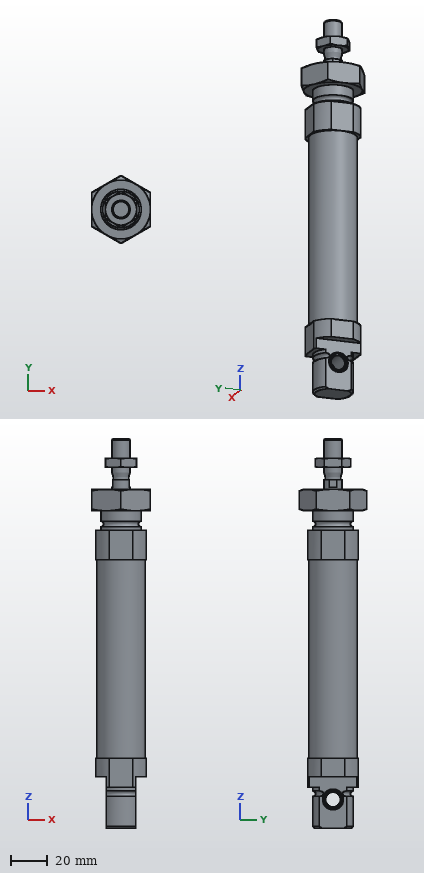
import cadquery as cq
import math

TOTAL_HEIGHT = 211.5
REAR_CAP_BOTTOM = 22.2
REAR_STEP_TOP = 28.0
REAR_CAP_TOP = 38.0
FRONT_CAP_BOTTOM = 145.7
FRONT_CAP_TOP = 161.8
FRONT_NECK_TOP = 184.0
SMALL_NUT_BOTTOM = 195.8

BARREL_DIAMETER = 26.5
CAP_ACROSS_FLATS = 27.5
CAP_FLAT_WIDTH = 13.0
CAP_DIAMETER = math.hypot(CAP_ACROSS_FLATS, CAP_FLAT_WIDTH)

NECK_DIAMETER = 22.0
NECK_CHAMFER = 1.0
GROOVE_RADIUS = 1.5
GROOVE_OFFSET = 3.4

TONGUE_THICKNESS = 16.0
PIVOT_HEIGHT = 15.7
PIVOT_DIAMETER = 8.0
PIVOT_SEAT_DIAMETER = 10.0
PIVOT_CHAMFER = 0.6

ROD_DIAMETER = 10.0
ROD_BORE_DEPTH = 21.2
ROD_BOTTOM = FRONT_NECK_TOP - ROD_BORE_DEPTH
ROD_TIP_CHAMFER_LENGTH = 0.8
ROD_TIP_CHAMFER_DEPTH = 0.6
ROD_UNDERCUT_DIAMETER = 8.5
ROD_UNDERCUT_BOTTOM = 189.3
ROD_UNDERCUT_WIDTH = 1.3
ROD_FLARE_LENGTH = 2.5
WRENCH_FLAT_SPACING = 9.0
WRENCH_FLAT_BOTTOM = 185.0

LARGE_NUT_ACROSS_FLATS = 32.0
LARGE_NUT_HEIGHT = 11.6
LARGE_NUT_BOTTOM = FRONT_NECK_TOP - LARGE_NUT_HEIGHT
SMALL_NUT_ACROSS_FLATS = 17.0
SMALL_NUT_HEIGHT = 5.0
NUT_CHAMFER_ANGLE = 20.0
HEXAGON_SIDES = 6


def disc(diameter, bottom, top):
    """Upright cylinder between two heights."""
    return cq.Workplane("XY").workplane(offset=bottom).circle(diameter / 2).extrude(top - bottom)


def slab(thickness, width, bottom, top):
    """Upright block centred on the axis, measured along X and Y."""
    return cq.Workplane("XY").workplane(offset=bottom).rect(thickness, width).extrude(top - bottom)


def cut_neck_groove(neck, height):
    """Cut a half-round groove around a neck."""
    ring = cq.Solid.makeTorus(NECK_DIAMETER / 2, GROOVE_RADIUS, cq.Vector(0, 0, height))
    return neck.cut(cq.Workplane(ring))


def make_cap(bottom, top):
    """Round cap with four flats."""
    return disc(CAP_DIAMETER, bottom, top).intersect(slab(CAP_ACROSS_FLATS, CAP_ACROSS_FLATS, bottom, top))


def make_front_neck():
    """Front neck with a chamfered end, which carries the large nut."""
    neck = disc(NECK_DIAMETER, FRONT_CAP_TOP, FRONT_NECK_TOP).faces(">Z").chamfer(NECK_CHAMFER)
    return cut_neck_groove(neck, FRONT_CAP_TOP + GROOVE_OFFSET)


def make_rear_end():
    """Rear cap and neck, milled down to a tongue with a pivot hole."""
    neck = disc(NECK_DIAMETER, 0, REAR_CAP_BOTTOM).faces("<Z").chamfer(NECK_CHAMFER)
    neck = cut_neck_groove(neck, REAR_CAP_BOTTOM - GROOVE_OFFSET)
    rear = make_cap(REAR_CAP_BOTTOM, REAR_CAP_TOP).union(neck)
    tongue_limit = slab(TONGUE_THICKNESS, CAP_DIAMETER, 0, REAR_STEP_TOP)
    cap_limit = slab(CAP_DIAMETER, CAP_DIAMETER, REAR_STEP_TOP, REAR_CAP_TOP)
    return rear.intersect(tongue_limit.union(cap_limit)).cut(make_pivot_hole())


def make_pivot_hole():
    """Hole along X that opens at both tongue faces into a shallow seat with a chamfered rim."""
    face = TONGUE_THICKNESS / 2
    seat = face - PIVOT_CHAMFER
    radius = PIVOT_DIAMETER / 2
    seat_radius = PIVOT_SEAT_DIAMETER / 2
    rim_radius = seat_radius + PIVOT_CHAMFER
    half_profile = [
        (-face, 0),
        (-face, rim_radius),
        (-seat, seat_radius),
        (-seat, radius),
        (seat, radius),
        (seat, seat_radius),
        (face, rim_radius),
        (face, 0),
    ]
    hole = cq.Workplane("XZ").polyline(half_profile).close().revolve(360, (0, 0, 0), (1, 0, 0))
    return hole.translate((0, 0, PIVOT_HEIGHT))


def make_cylinder():
    """Barrel, both caps and both necks, with a blind bore for the rod."""
    barrel = disc(BARREL_DIAMETER, REAR_CAP_TOP, FRONT_CAP_BOTTOM)
    body = barrel.union(make_rear_end())
    body = body.union(make_cap(FRONT_CAP_BOTTOM, FRONT_CAP_TOP)).union(make_front_neck())
    return body.cut(disc(ROD_DIAMETER, ROD_BOTTOM, FRONT_NECK_TOP))


def make_rod_undercut():
    """Ring to remove from the rod: square at its lower end, flaring out at its upper end."""
    outer_radius = ROD_DIAMETER / 2
    inner_radius = ROD_UNDERCUT_DIAMETER / 2
    flare_bottom = ROD_UNDERCUT_BOTTOM + ROD_UNDERCUT_WIDTH
    half_profile = [
        (outer_radius, ROD_UNDERCUT_BOTTOM),
        (inner_radius, ROD_UNDERCUT_BOTTOM),
        (inner_radius, flare_bottom),
        (outer_radius, flare_bottom + ROD_FLARE_LENGTH),
    ]
    return cq.Workplane("XZ").polyline(half_profile).close().revolve(360, (0, 0, 0), (0, 1, 0))


def make_rod_flats():
    """Two slivers to remove from the rod, leaving wrench flats that face X."""
    whole = slab(ROD_DIAMETER, ROD_DIAMETER, WRENCH_FLAT_BOTTOM, ROD_UNDERCUT_BOTTOM)
    core = slab(WRENCH_FLAT_SPACING, ROD_DIAMETER, WRENCH_FLAT_BOTTOM, ROD_UNDERCUT_BOTTOM)
    return whole.cut(core)


def make_rod():
    """Piston rod with a chamfered tip, an undercut and a pair of wrench flats."""
    rod = disc(ROD_DIAMETER, ROD_BOTTOM, TOTAL_HEIGHT)
    rod = rod.faces(">Z").chamfer(ROD_TIP_CHAMFER_LENGTH, ROD_TIP_CHAMFER_DEPTH)
    return rod.cut(make_rod_undercut()).cut(make_rod_flats())


def make_nut(across_flats, bore, bottom, height):
    """Hexagonal nut with flats facing X, its corners trimmed by a double cone."""
    corner_radius = across_flats / math.sqrt(3)
    flat_radius = across_flats / 2
    apex_radius = flat_radius + height / 2 / math.tan(math.radians(NUT_CHAMFER_ANGLE))
    half_profile = [
        (0, bottom),
        (flat_radius, bottom),
        (apex_radius, bottom + height / 2),
        (flat_radius, bottom + height),
        (0, bottom + height),
    ]
    envelope = cq.Workplane("XZ").polyline(half_profile).close().revolve(360, (0, 0, 0), (0, 1, 0))
    corners = []
    for index in range(HEXAGON_SIDES):
        angle = 2 * math.pi * (index + 0.5) / HEXAGON_SIDES
        corners.append((corner_radius * math.cos(angle), corner_radius * math.sin(angle)))
    prism = cq.Workplane("XY").workplane(offset=bottom).polyline(corners).close().extrude(height)
    return prism.intersect(envelope).cut(disc(bore, bottom, bottom + height))


cylinder = make_cylinder()
rod = make_rod()
large_nut = make_nut(LARGE_NUT_ACROSS_FLATS, NECK_DIAMETER, LARGE_NUT_BOTTOM, LARGE_NUT_HEIGHT)
small_nut = make_nut(SMALL_NUT_ACROSS_FLATS, ROD_DIAMETER, SMALL_NUT_BOTTOM, SMALL_NUT_HEIGHT)

result = cq.Compound.makeCompound([cylinder.val(), rod.val(), large_nut.val(), small_nut.val()])